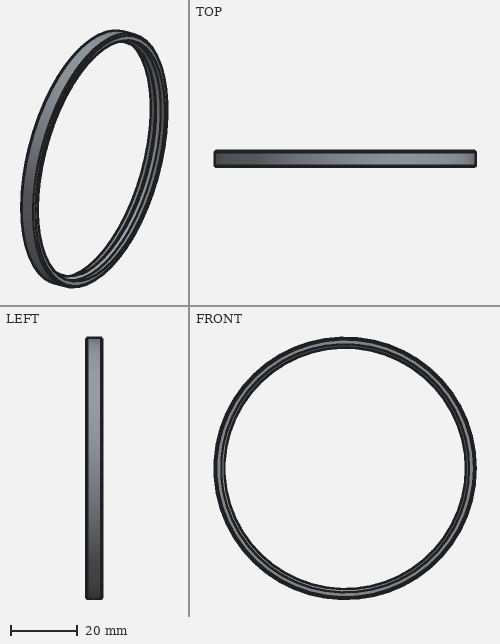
import cadquery as cq

outer_diameter = 78.0
bore_diameter = 74.0
ridge_diameter = 72.0
width = 5.0
chamfer = 0.55

outer_radius = outer_diameter / 2
bore_radius = bore_diameter / 2
ridge_radius = ridge_diameter / 2
half_width = width / 2
half_ridge = bore_radius - ridge_radius

profile = (
    cq.Workplane("XY")
    .moveTo(bore_radius, -half_width)
    .lineTo(outer_radius - chamfer, -half_width)
    .lineTo(outer_radius, -half_width + chamfer)
    .lineTo(outer_radius, half_width - chamfer)
    .lineTo(outer_radius - chamfer, half_width)
    .lineTo(bore_radius, half_width)
    .lineTo(bore_radius, half_ridge)
    .lineTo(ridge_radius, 0)
    .lineTo(bore_radius, -half_ridge)
    .close()
)

result = profile.revolve(360, (0, 0, 0), (0, 1, 0))